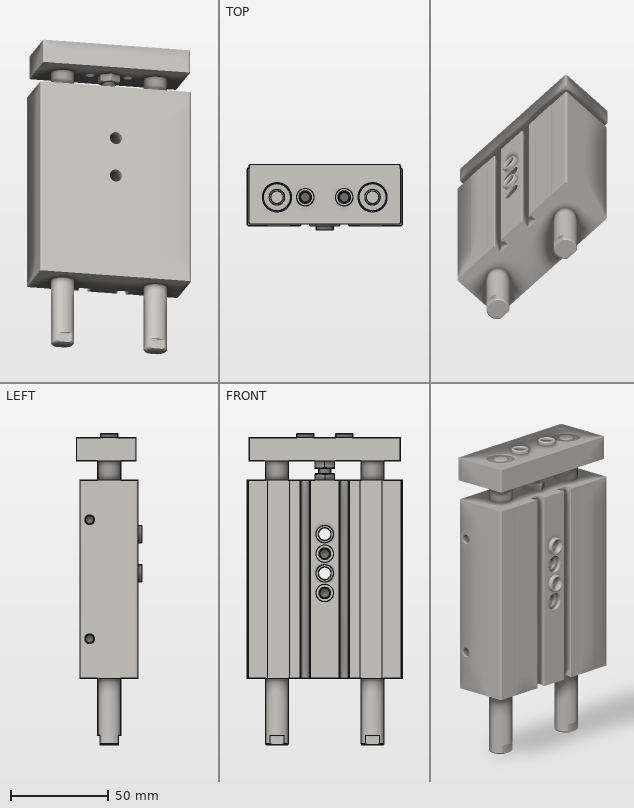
import cadquery as cq
import math


total_height = 160.4
sleeve_projection = 2.1
plate_thickness = 12.0
rod_gap = 10.0
housing_height = 102.0
rod_axis_y = -0.2
plate_top = total_height - sleeve_projection
plate_bottom = plate_top - plate_thickness
housing_top = plate_bottom - rod_gap
housing_bottom = housing_top - housing_height

housing_width = 80.0
housing_depth = 30.0
housing_fillet = 1.3
housing_front = -housing_depth / 2
relief_depth = 0.13
strip_inner_x = 18.1
strip_outer_x = 29.5

slot_center_x = 10.1
slot_mouth_half = 2.7
slot_neck_half = 2.2
slot_neck_start = slot_mouth_half - slot_neck_half
slot_neck_end = 1.0
slot_inner_half = 3.2
slot_flare_end = slot_neck_end + slot_inner_half - slot_neck_half
slot_depth = 5.0

mount_pitch = 10.1
mount_top_drop = 27.7
mount_top_z = housing_top - mount_top_drop
threaded_depth = 12.8

port_y = 10.0
port_end_distance = 20.4
port_zs = (housing_top - port_end_distance, housing_bottom + port_end_distance)
port_depth = 6.4
port_mouth_diameter = 5.0
port_diameter = 4.2

drill_tip_angle = 118.0
thread_mouth_diameter = 6.0
thread_diameter = 5.0
clearance_diameter = 6.4
sleeve_diameter = 9.0
sleeve_seat = 2.1

rod_spacing = 49.2
rod_diameter = 12.0
rod_chamfer = 0.6
rod_flat_height = 5.0
rod_flat_width = 9.6
shank_diameter = 8.0
shank_tip_diameter = 6.4

plate_width = 78.0
plate_setback = 1.0
plate_front = housing_front + plate_setback
plate_depth = 30.8
plate_fillet = 1.0
plate_sleeve_spacing = 20.0
recess_top_diameter = 15.0
recess_floor_diameter = 14.0
recess_depth = (recess_top_diameter - recess_floor_diameter) / 2

neck_diameter = 6.4
hex_across_flats = 10.1
hex_end_diameter = 9.6
hex_bevel_angle = 30.0
nut_height = 3.8
wrench_hex_height = 3.4

rod_xs = (-rod_spacing / 2, rod_spacing / 2)
plate_sleeve_xs = (-plate_sleeve_spacing / 2, plate_sleeve_spacing / 2)
sleeve_hole_zs = (mount_top_z, mount_top_z - 2 * mount_pitch)
threaded_hole_zs = (mount_top_z - mount_pitch, mount_top_z - 3 * mount_pitch)

UP = cq.Vector(0, 0, 1)
DOWN = cq.Vector(0, 0, -1)
INTO_FRONT = cq.Vector(0, 1, 0)
INTO_SIDE = cq.Vector(1, 0, 0)


def cylinder(start, direction, diameter, length):
    """A cylinder from a start point along a direction."""
    return cq.Workplane(cq.Solid.makeCylinder(diameter / 2, length, start, direction))


def cone(start, direction, start_diameter, end_diameter, length):
    """A cone from a start point along a direction."""
    solid = cq.Solid.makeCone(start_diameter / 2, end_diameter / 2, length, start, direction)
    return cq.Workplane(solid)


def thread_mouth(start, direction, mouth_diameter, bore_diameter):
    """The 45 degree countersink at the start of a threaded hole."""
    depth = (mouth_diameter - bore_diameter) / 2
    return cone(start, direction, mouth_diameter, bore_diameter, depth)


def blind_threaded_hole(start, direction, mouth_diameter, bore_diameter, depth):
    """A countersunk blind hole with a drill-point bottom."""
    tip_length = bore_diameter / 2 / math.tan(math.radians(drill_tip_angle / 2))
    tip = cone(start + direction * depth, direction, bore_diameter, 0, tip_length)
    bore = cylinder(start, direction, bore_diameter, depth)
    return bore.union(tip).union(thread_mouth(start, direction, mouth_diameter, bore_diameter))


def slot_cutter(center_x):
    """One T-slot with a bevelled mouth and flared flanks, along the whole housing."""
    right_side = [
        (slot_mouth_half, 0),
        (slot_neck_half, slot_neck_start),
        (slot_neck_half, slot_neck_end),
        (slot_inner_half, slot_flare_end),
        (slot_inner_half, slot_depth),
    ]
    left_side = [(-x, y) for x, y in reversed(right_side)]
    return (
        cq.Workplane("XY", origin=(center_x, housing_front, housing_bottom))
        .polyline(right_side + left_side)
        .close()
        .extrude(housing_height)
    )


def face_relief(x_start, x_end):
    """A shallow step in the front face between two X positions."""
    return (
        cq.Workplane("XY", origin=(0, housing_front, housing_bottom))
        .moveTo(x_start, 0)
        .lineTo(x_end, 0)
        .lineTo(x_end, relief_depth)
        .lineTo(x_start, relief_depth)
        .close()
        .extrude(housing_height)
    )


def make_housing():
    body = (
        cq.Workplane("XY", origin=(0, 0, housing_bottom))
        .rect(housing_width, housing_depth)
        .extrude(housing_height)
        .edges("|Z")
        .fillet(housing_fillet)
    )
    for side in (-1, 1):
        body = body.cut(face_relief(side * strip_outer_x, side * housing_width / 2))
        body = body.cut(face_relief(side * slot_center_x, side * strip_inner_x))
        body = body.cut(slot_cutter(side * slot_center_x))
    for x in rod_xs:
        body = body.cut(cylinder(cq.Vector(x, rod_axis_y, housing_top), DOWN, rod_diameter, housing_height))
    for z in sleeve_hole_zs:
        mouth = cq.Vector(0, housing_front, z)
        body = body.cut(cylinder(mouth, INTO_FRONT, clearance_diameter, housing_depth))
        body = body.cut(cylinder(mouth, INTO_FRONT, sleeve_diameter, sleeve_seat))
    for z in threaded_hole_zs:
        mouth = cq.Vector(0, housing_front, z)
        seat_floor = mouth + INTO_FRONT * sleeve_seat
        body = body.cut(cylinder(mouth, INTO_FRONT, sleeve_diameter, sleeve_seat))
        thread = blind_threaded_hole(
            seat_floor, INTO_FRONT, thread_mouth_diameter, thread_diameter, threaded_depth
        )
        body = body.cut(thread)
    for z in port_zs:
        mouth = cq.Vector(-housing_width / 2, port_y, z)
        port = blind_threaded_hole(
            mouth, INTO_SIDE, port_mouth_diameter, port_diameter, port_depth
        )
        body = body.cut(port)
    return body


def hex_block(attached_z, direction, height):
    """A hexagon with one corner towards -Y, bevelled at its free end."""
    corner_diameter = hex_across_flats / math.cos(math.radians(30))
    bevel_width = (corner_diameter - hex_end_diameter) / 2
    bevel_height = bevel_width * math.tan(math.radians(hex_bevel_angle))
    straight_height = height - bevel_height
    start = cq.Vector(0, rod_axis_y, attached_z)
    bevel_start = start + direction * straight_height
    envelope = cylinder(start, direction, corner_diameter, straight_height).union(
        cone(bevel_start, direction, corner_diameter, hex_end_diameter, bevel_height)
    )
    plane = cq.Plane(origin=start, xDir=(0, 1, 0), normal=direction)
    hexagon = cq.Workplane(plane).polygon(6, corner_diameter).extrude(height)
    return hexagon.intersect(envelope)


def piston_rod_end():
    """The neck between the lock nut and the wrench hexagon, from the housing to the plate."""
    neck = cylinder(cq.Vector(0, rod_axis_y, plate_bottom), DOWN, neck_diameter, rod_gap)
    lock_nut = hex_block(plate_bottom, DOWN, nut_height)
    wrench_hex = hex_block(housing_top, UP, wrench_hex_height)
    return neck.union(lock_nut).union(wrench_hex)


def make_plate():
    body = (
        cq.Workplane("XY", origin=(0, plate_front + plate_depth / 2, plate_bottom))
        .rect(plate_width, plate_depth)
        .extrude(plate_thickness)
        .edges("|Z")
        .fillet(plate_fillet)
    )
    for x in rod_xs:
        mouth = cq.Vector(x, rod_axis_y, plate_top)
        body = body.cut(cone(mouth, DOWN, recess_top_diameter, recess_floor_diameter, recess_depth))
        body = body.cut(cylinder(mouth, DOWN, shank_diameter, plate_thickness))
    for x in plate_sleeve_xs:
        mouth = cq.Vector(x, rod_axis_y, plate_top)
        seat_floor = mouth + DOWN * sleeve_seat
        body = body.cut(cylinder(mouth, DOWN, sleeve_diameter, sleeve_seat))
        body = body.cut(cylinder(mouth, DOWN, thread_diameter, plate_thickness))
        body = body.cut(thread_mouth(seat_floor, DOWN, thread_mouth_diameter, thread_diameter))
    return body.union(piston_rod_end())


def make_guide_rod(x):
    """A rod through the housing whose thinner shank is held in the plate."""
    rod = (
        cq.Workplane("XY", origin=(x, rod_axis_y, 0))
        .circle(rod_diameter / 2)
        .extrude(plate_bottom)
        .faces("<Z")
        .chamfer(rod_chamfer)
    )
    flat_envelope = (
        cq.Workplane("XY", origin=(x, rod_axis_y, 0))
        .rect(rod_diameter, rod_flat_width)
        .extrude(rod_flat_height)
        .union(
            cq.Workplane("XY", origin=(x, rod_axis_y, rod_flat_height))
            .rect(rod_diameter, rod_diameter)
            .extrude(plate_bottom - rod_flat_height)
        )
    )
    shank = (
        cq.Workplane("XY", origin=(x, rod_axis_y, plate_bottom))
        .circle(shank_diameter / 2)
        .extrude(plate_thickness)
        .faces(">Z")
        .chamfer((shank_diameter - shank_tip_diameter) / 2)
    )
    return rod.intersect(flat_envelope).union(shank)


def make_sleeve(seat_mouth, inward):
    """A centring sleeve that fills its seat and stands out of it, with a fully rounded outer rim."""
    bore_radius = clearance_diameter / 2
    outer_radius = sleeve_diameter / 2
    rim_radius = (outer_radius - bore_radius) / 2
    rim_start = sleeve_projection - rim_radius
    outward = inward * -1
    across = cq.Vector(1, 0, 0)
    section_plane = cq.Plane(seat_mouth, xDir=across, normal=across.cross(outward))
    return (
        cq.Workplane(section_plane)
        .moveTo(bore_radius, -sleeve_seat)
        .lineTo(outer_radius, -sleeve_seat)
        .lineTo(outer_radius, rim_start)
        .threePointArc((bore_radius + rim_radius, sleeve_projection), (bore_radius, rim_start))
        .close()
        .revolve(360, (0, 0), (0, 1))
    )


housing = make_housing()
plate = make_plate()
guide_rods = [make_guide_rod(x) for x in rod_xs]
plate_sleeves = [make_sleeve(cq.Vector(x, rod_axis_y, plate_top), DOWN) for x in plate_sleeve_xs]
housing_sleeves = [
    make_sleeve(cq.Vector(0, housing_front, z), INTO_FRONT) for z in sleeve_hole_zs
]

result = cq.Compound.makeCompound(
    [body.val() for body in [housing, plate, *guide_rods, *plate_sleeves, *housing_sleeves]]
)